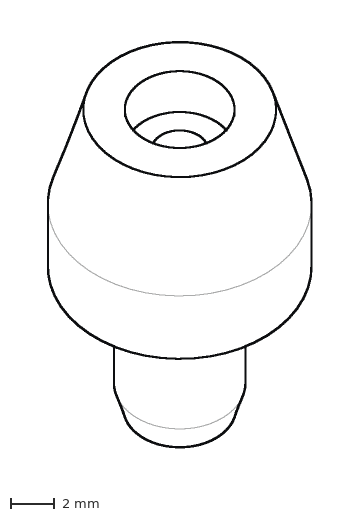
import cadquery as cq
import math

total_height = 19.0
head_diameter = 12.0
head_top_diameter = 8.78
head_height = 10.0
head_band_height = 4.0
stem_diameter = 6.0
tip_height = 1.6
taper_angle = 15.0
counterbore_diameter = 5.0
counterbore_depth = 2.6
bore_top_diameter = 2.6
bore_bottom_diameter = 2.43

head_bottom = total_height - head_height
band_top = head_bottom + head_band_height
tip_radius = stem_diameter / 2 - tip_height * math.tan(math.radians(taper_angle))

body = (
    cq.Workplane("XZ")
    .moveTo(0, 0)
    .lineTo(tip_radius, 0)
    .lineTo(stem_diameter / 2, tip_height)
    .lineTo(stem_diameter / 2, head_bottom)
    .lineTo(head_diameter / 2, head_bottom)
    .lineTo(head_diameter / 2, band_top)
    .lineTo(head_top_diameter / 2, total_height)
    .lineTo(0, total_height)
    .close()
    .revolve(360, (0, 0, 0), (0, 1, 0))
)

counterbored = body.faces(">Z").workplane().hole(counterbore_diameter, counterbore_depth)

bore = cq.Workplane(
    cq.Solid.makeCone(
        bore_bottom_diameter / 2,
        bore_top_diameter / 2,
        total_height - counterbore_depth,
    )
)
result = counterbored.cut(bore)